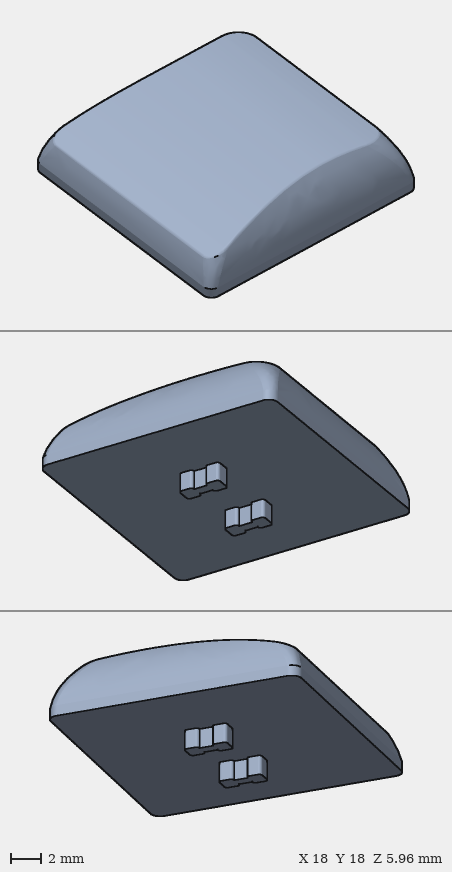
import cadquery as cq
import math

cap_width = 18.0
half_width = cap_width / 2
skirt_height = 0.75
skirt_corner_radius = 0.7

crown_y = 2.34
crown_height = 4.59
crown_radius = 28.8
rim_fillet = 0.27

loft_top = 4.77
section_count = 6
side_wall_radius = 6.48
back_wall_radius = 7.56
front_wall_radius = side_wall_radius
wall_start_angle = math.radians(6.6)
front_wall_start_angle = math.radians(12.0)
corner_radius_gain = 1.26
corner_gain_exponent = 1.5

leg_height = 1.37
leg_spacing = 5.76
leg_width = 1.2
leg_length = 3.06
leg_edge_radius = 0.22
groove_depth = 0.23
groove_floor_width = 0.97


def wall_inset(height, radius, start_angle):
    """Inward shift, at a height above the skirt, of a wall bent along an arc."""
    end_angle = math.asin(math.sin(start_angle) + height / radius)
    return radius * (math.cos(start_angle) - math.cos(end_angle))


def dome_section(z):
    """Rounded rectangle of the dome at level z; its corners widen towards the top."""
    height = z - skirt_height
    rise = height / (loft_top - skirt_height)
    corner = skirt_corner_radius + corner_radius_gain * rise**corner_gain_exponent
    side = half_width - wall_inset(height, side_wall_radius, wall_start_angle)
    back = half_width - wall_inset(height, back_wall_radius, wall_start_angle)
    front = half_width - wall_inset(height, front_wall_radius, front_wall_start_angle)
    section = cq.Sketch().rect(2 * side, back + front).vertices().fillet(corner)
    return section.moved(cq.Location(cq.Vector(0, (back - front) / 2, z)))


def make_dome():
    """Lofted blank trimmed by the crown cylinder, with a rounded rim around the top face."""
    step = (loft_top - skirt_height) / (section_count - 1)
    sections = [dome_section(skirt_height + i * step) for i in range(section_count)]
    blank = cq.Workplane("XY").placeSketch(*sections).loft()
    crown = (
        cq.Workplane("YZ")
        .center(crown_y, crown_height - crown_radius)
        .circle(crown_radius)
        .extrude(half_width, both=True)
    )
    dome = blank.intersect(crown)
    return dome.faces(">Z").edges().fillet(rim_fillet)


def make_skirt():
    """Square plate with rounded corners."""
    skirt = cq.Workplane("XY").rect(cap_width, cap_width).extrude(skirt_height)
    return skirt.edges("|Z").fillet(skirt_corner_radius)


def make_leg(x):
    """Bar with rounded corners; a groove with rounded shoulders runs down each long side."""
    leg = cq.Workplane("XY").center(x, 0).rect(leg_width, leg_length).extrude(-leg_height)
    grooves = (
        cq.Workplane("XY")
        .center(x, 0)
        .pushPoints([(-leg_width / 2, 0), (leg_width / 2, 0)])
        .rect(2 * groove_depth, groove_floor_width)
        .extrude(-leg_height)
    )
    return leg.cut(grooves).edges("|Z").edges("<X or >X").fillet(leg_edge_radius)


result = make_skirt().union(make_dome())
for leg_x in (-leg_spacing / 2, leg_spacing / 2):
    result = result.union(make_leg(leg_x))